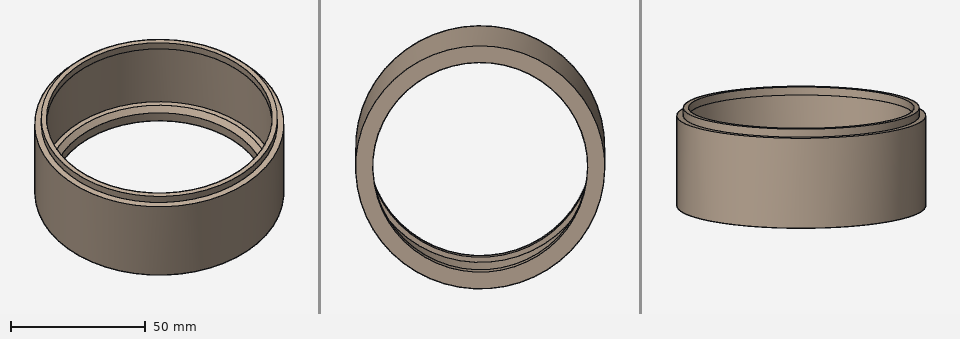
import cadquery as cq

outer_diameter = 92.5
seat_diameter = 87.65
ring_bore_diameter = 83.75
bottom_opening_diameter = 79.7

total_height = 37.0
ring_height = 3.0
housing_height = total_height - ring_height
ledge_height = 6.0
cone_start_height = 4.0


def make_housing():
    """Tube with an inward flange at its foot, coned at the top of the opening."""
    outer_radius = outer_diameter / 2
    bore_radius = seat_diameter / 2
    cone_radius = ring_bore_diameter / 2
    opening_radius = bottom_opening_diameter / 2
    section = (
        cq.Workplane("XZ")
        .moveTo(opening_radius, 0)
        .lineTo(outer_radius, 0)
        .lineTo(outer_radius, housing_height)
        .lineTo(bore_radius, housing_height)
        .lineTo(bore_radius, ledge_height)
        .lineTo(cone_radius, ledge_height)
        .lineTo(opening_radius, cone_start_height)
        .close()
    )
    return section.revolve(360, (0, 0, 0), (0, 1, 0))


def make_top_ring():
    """Plain ring standing on the rim of the housing bore."""
    return (
        cq.Workplane("XY")
        .workplane(offset=housing_height)
        .circle(seat_diameter / 2)
        .circle(ring_bore_diameter / 2)
        .extrude(ring_height)
    )


housing = make_housing()
top_ring = make_top_ring()

result = cq.Compound.makeCompound([housing.val(), top_ring.val()])